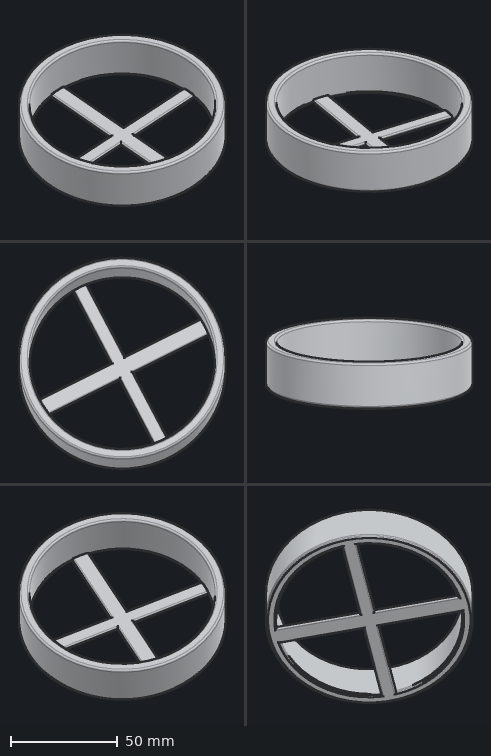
import cadquery as cq

outer_diameter = 97.0
bore_diameter = 87.0
ring_height = 22.0
rim_fillet = 1.0
base_chamfer = 1.0
shoulder_fillet = 1.0

x_spoke_width = 8.5
y_spoke_width = 7.0
spoke_thickness = 2.0
spoke_top_fillet = 0.7
spoke_base_fillet = 0.8

outer_radius = outer_diameter / 2
bore_radius = bore_diameter / 2
spoke_length = (outer_diameter + bore_diameter) / 2


def make_ring():
    """Ring with rounded rim, and blended bevels along both bottom edges."""
    disc = cq.Workplane("XY").circle(outer_radius).extrude(ring_height)
    ring = disc.cut(cq.Workplane("XY").circle(bore_radius).extrude(ring_height))
    ring = ring.faces(">Z").edges().fillet(rim_fillet)
    ring = ring.faces("<Z").edges().chamfer(base_chamfer)
    shoulders = ring.faces("%CYLINDER").edges("%CIRCLE").edges("<Z")
    return shoulders.fillet(shoulder_fillet)


def make_spoke(size_x, size_y, long_edges):
    """Bar resting on Z = 0 whose upper and lower long edges are rounded."""
    bar = cq.Workplane("XY").box(size_x, size_y, spoke_thickness, centered=(True, True, False))
    bar = bar.faces(">Z").edges(long_edges).fillet(spoke_top_fillet)
    return bar.faces("<Z").edges(long_edges).fillet(spoke_base_fillet)


x_spoke = make_spoke(spoke_length, x_spoke_width, "|X")
y_spoke = make_spoke(y_spoke_width, spoke_length, "|Y")

result = make_ring().union(x_spoke).union(y_spoke)